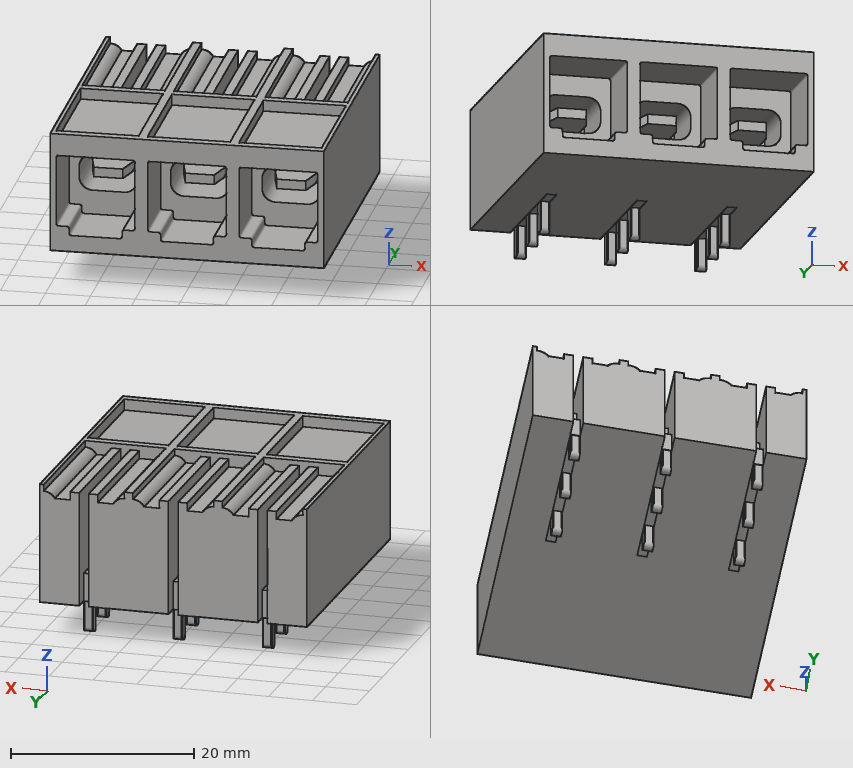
import cadquery as cq


POLES = 3
POLE_PITCH = 10.18
HOUSING_WIDTH = 30.45
HOUSING_LENGTH = 32.0
HOUSING_HEIGHT = 13.57
pole_centres = [(i - (POLES - 1) / 2) * POLE_PITCH for i in range(POLES)]

SOCKET_WIDTH = 8.75
SOCKET_TOP = 11.07
SOCKET_LEDGE = 2.9
SOCKET_DEPTH = 7.3
KEYWAY_WIDTH = 5.9
KEYWAY_FLOOR = 1.9
SOCKET_FILLET = 0.3
WELL_WIDTH = 6.5
WELL_HEIGHT = 4.13
WELL_CENTRE_HEIGHT = 6.72
WELL_CORNER = 1.5
WELL_BOTTOM = 14.4

RECESS_WIDTH = 9.2
POCKET_START = 1.05
POCKET_END = 15.0
POCKET_DEPTH = 1.25
CHANNEL_START = 16.05
CHANNEL_DEPTH = 1.47
SHOULDER_WIDTH = 1.28
SHOULDER_DEPTH = 0.75
RIB_SPAN = 3.17
RIB_TOP_DEPTH = 0.58

SHEET_THICKNESS = 1.1
BLADE_WIDTH = 4.48
BLADE_CENTRE_HEIGHT = 6.8
BLADE_TIP = SOCKET_DEPTH
TIP_TAPER_WIDTH = 0.65
TIP_TAPER_LENGTH = 2.45
WEB_END = HOUSING_LENGTH - 1.75
WEB_STEP = HOUSING_LENGTH - 3.75
WEB_STEP_HEIGHT = 3.2
PINS_PER_CONTACT = 3
PIN_PITCH = 5.1
PIN_DEPTH = 1.2
PIN_LENGTH = 3.52
PIN_TIP_RADIUS = 0.55
PIN_CHAMFER = 0.13
LAST_PIN = HOUSING_LENGTH - 2.3

blade_bottom = BLADE_CENTRE_HEIGHT - SHEET_THICKNESS / 2
blade_top = BLADE_CENTRE_HEIGHT + SHEET_THICKNESS / 2
shoulder_drop = CHANNEL_DEPTH - SHOULDER_DEPTH
shoulder_radius = (SHOULDER_WIDTH**2 + shoulder_drop**2) / (2 * shoulder_drop)


def block(x_centre, x_size, y_start, y_end, z_start, z_end):
    """Box centred on x_centre that fills the given Y and Z ranges."""
    box = cq.Workplane("XY").box(x_size, y_end - y_start, z_end - z_start, centered=(True, False, False))
    return box.translate((x_centre, y_start, z_start))


def make_socket(x):
    """Cutter for the keyed socket opening and the well around the blade."""
    keyway = block(x, KEYWAY_WIDTH, 0, SOCKET_DEPTH, KEYWAY_FLOOR, SOCKET_TOP)
    opening = block(x, SOCKET_WIDTH, 0, SOCKET_DEPTH, SOCKET_LEDGE, SOCKET_TOP).union(keyway).clean()
    opening = opening.edges("|Y").fillet(SOCKET_FILLET)
    well_floor = WELL_CENTRE_HEIGHT - WELL_HEIGHT / 2
    well = block(x, WELL_WIDTH, SOCKET_DEPTH, WELL_BOTTOM, well_floor, well_floor + WELL_HEIGHT)
    return opening.union(well.edges("|Y").fillet(WELL_CORNER))


def make_pocket(x):
    """Cutter for the shallow rectangular pocket in the top face."""
    return block(x, RECESS_WIDTH, POCKET_START, POCKET_END, HOUSING_HEIGHT - POCKET_DEPTH, HOUSING_HEIGHT)


def make_channel(x):
    """Cutter for the rear channel: convex shoulders beside a flat floor, leaving a central rib."""
    half_width = RECESS_WIDTH / 2
    half_floor = half_width - SHOULDER_WIDTH
    half_rib = RIB_SPAN / 2
    shoulder_z = HOUSING_HEIGHT - SHOULDER_DEPTH
    floor_z = HOUSING_HEIGHT - CHANNEL_DEPTH
    rib_z = HOUSING_HEIGHT - RIB_TOP_DEPTH
    return (
        cq.Workplane("XZ", origin=(x, HOUSING_LENGTH, 0))
        .moveTo(-half_width, HOUSING_HEIGHT)
        .lineTo(-half_width, shoulder_z)
        .radiusArc((-half_floor, floor_z), shoulder_radius)
        .lineTo(-half_rib, floor_z)
        .lineTo(-half_rib, rib_z)
        .lineTo(half_rib, rib_z)
        .lineTo(half_rib, floor_z)
        .lineTo(half_floor, floor_z)
        .radiusArc((half_width, shoulder_z), shoulder_radius)
        .lineTo(half_width, HOUSING_HEIGHT)
        .close()
        .extrude(HOUSING_LENGTH - CHANNEL_START)
    )


def make_contact_slot(x):
    """Cutter for the slot that splits the rib and takes the web, and for the passage of the blade."""
    slot = block(x, SHEET_THICKNESS, CHANNEL_START, HOUSING_LENGTH, 0, HOUSING_HEIGHT)
    passage = block(x, BLADE_WIDTH, WELL_BOTTOM, CHANNEL_START, blade_bottom, blade_top)
    return slot.union(passage)


def make_housing():
    """Block with a socket, pocket, channel and contact slot for each pole."""
    body = block(0, HOUSING_WIDTH, 0, HOUSING_LENGTH, 0, HOUSING_HEIGHT)
    for x in pole_centres:
        for cutter in (make_socket(x), make_pocket(x), make_channel(x), make_contact_slot(x)):
            body = body.cut(cutter)
    return body


def make_pin(x, y):
    """Rectangular pin below the web, chamfered along its length and rounded about X at its tip."""
    half_depth = PIN_DEPTH / 2
    pin = block(x, SHEET_THICKNESS, y - half_depth, y + half_depth, -PIN_LENGTH, 0)
    rounded_tip = pin.edges("|X and <Z").fillet(PIN_TIP_RADIUS)
    return pin.edges("|Z").chamfer(PIN_CHAMFER).intersect(rounded_tip)


def make_contact(x):
    """Blade with a tapered tip, joined to an upright web that carries the row of pins."""
    blade = block(x, BLADE_WIDTH, BLADE_TIP, CHANNEL_START, blade_bottom, blade_top)
    blade = blade.edges("|Z and <Y").chamfer(TIP_TAPER_LENGTH, TIP_TAPER_WIDTH)
    web = block(x, SHEET_THICKNESS, CHANNEL_START, WEB_STEP, 0, blade_top)
    low_web = block(x, SHEET_THICKNESS, WEB_STEP, WEB_END, 0, WEB_STEP_HEIGHT)
    contact = blade.union(web).union(low_web)
    for i in range(PINS_PER_CONTACT):
        contact = contact.union(make_pin(x, LAST_PIN - i * PIN_PITCH))
    return contact


housing = make_housing()
contacts = [make_contact(x) for x in pole_centres]

result = cq.Compound.makeCompound([
    housing.solids().val(),
    *[contact.solids().val() for contact in contacts],
])